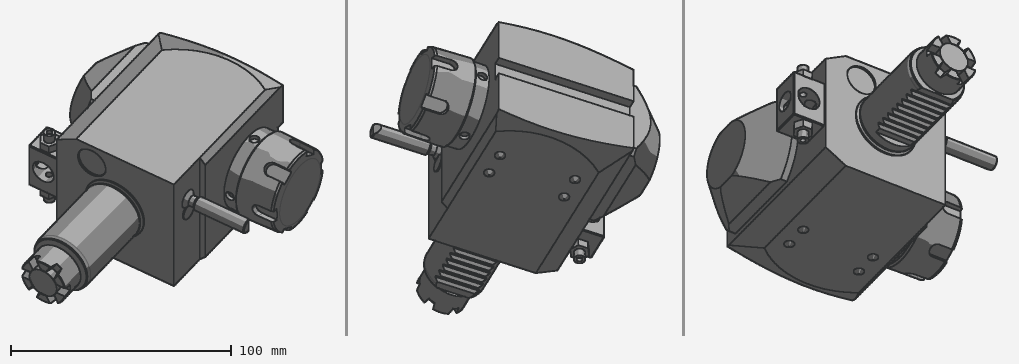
import cadquery as cq
import math


OVERLAP = 0.7

housing_half_height = 32.0
housing_left = -31.9
housing_right = 32.0
housing_depth = 84.4
left_bevel_run = 10.7
left_bevel_drop = left_bevel_run * math.tan(math.radians(30))
pad_right = 35.0
pad_front = 21.0
pad_bevel = pad_right - housing_right

relief_center = (8.5, 37.2)
relief_radius = 43.9
relief_angle = 70.0

keyway_width = 10.0
keyway_depth = 4.1

recess_center = (-12.7, 21.6)
recess_radius = 7.6
recess_depth = 1.0

collar_radius = 15.9
collar_length = 1.3
shank_radius = 15.0
shank_groove_radius = 14.6
shank_groove_end = 2.0
shank_length = 44.6
shank_end_bevel = 2.1
shank_end_radius = 14.6
shank_end_chamfer = 0.5
flat_start = 6.7
flat_drop = 11.9
tooth_pitch = 4.0
tooth_count = 8
first_tooth = 11.5
tooth_depth = 1.5
tooth_mouth = 3.3
tooth_root = 0.7

rear_nut_radius = 12.0
rear_nut_start = 45.9
rear_nut_end = 58.6
rear_neck_radius = 9.3
rear_nut_bevel = 0.3
rear_nut_hub_radius = 7.5
rear_nut_hub_rise = 0.3
rear_nut_face = rear_nut_end - rear_nut_hub_rise
rear_slot_depth = 3.9
rear_slot_mouth = 5.0
rear_slot_floor = 3.1
nut_slot_count = 6

spindle_y = 55.2
neck_radius = 16.3
ring_radius = 20.0
ring_start = 35.8
ring_end = 42.2
ring_hole_radius = 2.3
ring_hole_depth = 2.1
ring_hole_count = 4
groove_radius = 17.9
nut_radius = 21.2
nut_edge_radius = 20.7
nut_front_radius = 20.3
nut_face_radius = 16.6
nut_start = 43.0
nut_edge_start = 61.6
nut_front = 62.8
nut_end = 63.6
nut_slot_width = 6.6
nut_slot_start = 51.8
nut_slot_floor = 18.0

cover_left = -50.6
cover_radius = 31.9
cover_face_radius = 16.5
cover_cone_end = cover_left + cover_radius - cover_face_radius
cover_half_height = 23.0
cover_face_half_height = 15.7
cover_rear = 80.0
cover_bevel_run = (cover_half_height - cover_face_half_height) / math.tan(math.radians(30))

block_left = -48.0
block_front = 1.3
block_rear = 16.3
block_half_height = 12.5
block_bevel = 0.5
bore_x = -40.0
cross_bore_radius = 5.7
side_bore_y = 8.9
side_bore_radius = 4.9
pin_hole_radius = 1.5
pin_hole_depth = 4.3
fitting_y = 6.3
hex_across_corners = 9.5
hex_top = 16.6
fitting_radius = 2.6
fitting_top = 21.0
fitting_hole_radius = 1.3
fitting_hole_depth = 2.1
passage_radius = 1.6

nozzle_y = 11.3
nozzle_z = 14.0
nozzle_base_radius = 4.6
nozzle_neck_radius = 2.6
nozzle_neck_start = 34.0
nozzle_neck_end = 36.8
nozzle_tube_start = 37.8
nozzle_radius = 3.5
nozzle_end = 64.8
nozzle_edge_bevel = 0.5
nozzle_tip_bevel = 2.7
plug_z = 6.5
plug_radius = 4.1
plug_end = 32.6

screw_spacing_x = 37.2
screw_spacing_y = 12.0
screw_center_x = 5.5
screw_radius = 2.5
screw_tip_radius = 0.3
screw_height = 1.6


def box(x_range, y_range, z_range):
    """Axis-aligned box between the given limits."""
    low, high = zip(x_range, y_range, z_range)
    size = [b - a for a, b in zip(low, high)]
    return cq.Workplane("XY").box(*size, centered=False).translate(low)


def turned_along_x(profile, y, z):
    """Solid of revolution from (x, radius) points about an axis parallel to X."""
    return cq.Workplane("XY").polyline(profile).close().revolve(360, (0, 0), (1, 0)).translate((0, y, z))


def turned_along_y(profile):
    """Solid of revolution from (radius, y) points about the Y axis."""
    return cq.Workplane("XY").polyline(profile).close().revolve(360, (0, 0), (0, 1))


def turned_along_z(profile, x, y):
    """Solid of revolution from (radius, z) points about an axis parallel to Z."""
    return cq.Workplane("XZ").polyline(profile).close().revolve(360, (0, 0), (0, 1)).translate((x, y, 0))


def prism_along_y(outline, front, rear):
    """Prism from (x, z) points between two Y positions."""
    return cq.Workplane("XZ", origin=(0, front, 0)).polyline(outline).close().extrude(front - rear)


def mirrored_in_z(solid):
    return solid.union(solid.mirror("XY"))


def make_housing():
    top = housing_half_height
    bevel_x = housing_left + left_bevel_run
    side_top = top - left_bevel_drop
    outline = [
        (housing_left, -side_top), (bevel_x, -top), (housing_right, -top),
        (housing_right, top), (bevel_x, top), (housing_left, side_top),
    ]
    housing = prism_along_y(outline, 0, housing_depth)

    pad_top = top - pad_bevel
    pad = [
        (housing_right - OVERLAP, -top), (housing_right, -top), (pad_right, -pad_top),
        (pad_right, pad_top), (housing_right, top), (housing_right - OVERLAP, top),
    ]
    housing = housing.union(prism_along_y(pad, pad_front, housing_depth))

    middle_radius = relief_radius + top * math.tan(math.radians(relief_angle))
    cone_profile = [(0, -top), (relief_radius, -top), (middle_radius, 0), (relief_radius, top), (0, top)]
    front_half = box((housing_left, pad_right), (0, relief_center[1]), (-top, top))
    housing = housing.intersect(turned_along_z(cone_profile, *relief_center).union(front_half))

    keyway = box(
        (housing_left, pad_right),
        (housing_depth - keyway_depth, housing_depth),
        (-keyway_width / 2, keyway_width / 2),
    )
    recess = cq.Workplane("XZ").center(*recess_center).circle(recess_radius).extrude(-recess_depth)
    return housing.cut(keyway).cut(recess)


def make_shank():
    profile = [
        (0, OVERLAP),
        (collar_radius, OVERLAP),
        (collar_radius, -collar_length / 2),
        (shank_groove_radius, -collar_length),
        (shank_groove_radius, -shank_groove_end),
        (shank_radius, -shank_groove_end),
        (shank_radius, shank_end_bevel - shank_length),
        (shank_end_radius, shank_end_chamfer - shank_length),
        (shank_end_radius - shank_end_chamfer, -shank_length),
        (rear_neck_radius, -shank_length),
        (rear_neck_radius, -rear_nut_start),
        (rear_nut_radius, -rear_nut_start),
        (rear_nut_radius, rear_nut_bevel - rear_nut_face),
        (rear_nut_radius - rear_nut_bevel, -rear_nut_face),
        (rear_nut_hub_radius, -rear_nut_face),
        (rear_nut_hub_radius, -rear_nut_end),
        (0, -rear_nut_end),
    ]
    shank = turned_along_y(profile)
    shank = shank.cut(box(
        (-shank_radius, shank_radius), (-shank_length, -flat_start), (-shank_radius, -flat_drop),
    ))

    root_z = tooth_depth - flat_drop
    for index in range(tooth_count):
        y = -first_tooth - index * tooth_pitch
        gap = [
            (y - tooth_mouth / 2, -flat_drop), (y - tooth_root / 2, root_z),
            (y + tooth_root / 2, root_z), (y + tooth_mouth / 2, -flat_drop),
        ]
        shank = shank.cut(cq.Workplane("YZ").polyline(gap).close().extrude(shank_radius, both=True))

    slot_bottom = rear_slot_depth - rear_nut_face
    slot_outline = [
        (-rear_nut_face, -rear_slot_mouth / 2), (slot_bottom, -rear_slot_floor / 2),
        (slot_bottom, rear_slot_floor / 2), (-rear_nut_face, rear_slot_mouth / 2),
    ]
    slot = cq.Workplane("YZ").polyline(slot_outline).close().extrude(2 * rear_nut_radius)
    hub = cq.Workplane("XZ").circle(rear_nut_hub_radius).extrude(rear_nut_end)
    slot = slot.cut(hub)
    for index in range(nut_slot_count):
        shank = shank.cut(slot.rotate((0, 0, 0), (0, 1, 0), index * 360 / nut_slot_count))
    return shank


def make_spindle():
    profile = [
        (pad_right - OVERLAP, 0),
        (pad_right - OVERLAP, neck_radius),
        (ring_start, neck_radius),
        (ring_start, ring_radius),
        (ring_end, ring_radius),
        (ring_end, groove_radius),
        (nut_start, groove_radius),
        (nut_start, nut_radius),
        (nut_edge_start, nut_edge_radius),
        (nut_front, nut_front_radius),
        (nut_end, nut_face_radius),
        (nut_end, 0),
    ]
    spindle = turned_along_x(profile, 0, 0)

    ring_hole = (
        cq.Workplane("XY", origin=((ring_start + ring_end) / 2, 0, ring_radius - ring_hole_depth))
        .circle(ring_hole_radius)
        .extrude(2 * ring_hole_depth)
    )
    for index in range(ring_hole_count):
        spindle = spindle.cut(ring_hole.rotate((0, 0, 0), (1, 0, 0), index * 360 / ring_hole_count))

    half_width = nut_slot_width / 2
    slot = (
        cq.Workplane("XZ", origin=(0, -nut_slot_floor, 0))
        .moveTo(nut_end, -half_width)
        .lineTo(nut_slot_start + half_width, -half_width)
        .threePointArc((nut_slot_start, 0), (nut_slot_start + half_width, half_width))
        .lineTo(nut_end, half_width)
        .close()
        .extrude(nut_radius - nut_slot_floor + OVERLAP)
    )
    for index in range(nut_slot_count):
        spindle = spindle.cut(slot.rotate((0, 0, 0), (1, 0, 0), index * 360 / nut_slot_count))
    return spindle.translate((0, spindle_y, 0))


def make_cover():
    root = housing_left + OVERLAP
    cone = turned_along_x(
        [(cover_left, 0), (cover_left, cover_face_radius), (cover_cone_end, cover_radius),
         (root, cover_radius), (root, 0)],
        spindle_y, 0,
    )
    bevel_end = cover_left + cover_bevel_run
    outline = [
        (cover_left, -cover_face_half_height), (bevel_end, -cover_half_height), (root, -cover_half_height),
        (root, cover_half_height), (bevel_end, cover_half_height), (cover_left, cover_face_half_height),
    ]
    return cone.intersect(prism_along_y(outline, spindle_y - cover_radius, cover_rear))


def make_fitting():
    fitting = (
        cq.Workplane("XY", origin=(bore_x, fitting_y, block_half_height - OVERLAP))
        .polygon(6, hex_across_corners)
        .extrude(hex_top - block_half_height + OVERLAP)
        .faces(">Z").workplane()
        .circle(fitting_radius)
        .extrude(fitting_top - hex_top)
        .faces(">Z").workplane()
        .hole(2 * fitting_hole_radius, fitting_hole_depth)
    )
    return fitting


def make_coolant_block():
    block = box(
        (block_left, housing_left), (block_front, block_rear), (-block_half_height, block_half_height),
    )
    block = block.edges("|X or <X").chamfer(block_bevel)
    cross_bore = (
        cq.Workplane("XZ", origin=(bore_x, block_front, 0))
        .circle(cross_bore_radius)
        .extrude(block_front - block_rear)
    )
    side_bore = (
        cq.Workplane("YZ", origin=(block_left, side_bore_y, 0))
        .circle(side_bore_radius)
        .extrude(housing_left - block_left)
    )
    passage = (
        cq.Workplane("XY", origin=(bore_x, fitting_y, 0))
        .circle(passage_radius)
        .extrude(block_half_height, both=True)
    )
    block = block.union(mirrored_in_z(make_fitting()))
    return block.cut(cross_bore).cut(side_bore).cut(passage)


def make_nozzle():
    root = housing_right - OVERLAP
    profile = [
        (root, 0),
        (root, nozzle_base_radius),
        (housing_right, nozzle_base_radius),
        (nozzle_neck_start, nozzle_neck_radius),
        (nozzle_neck_end, nozzle_neck_radius),
        (nozzle_tube_start, nozzle_radius),
        (nozzle_end - nozzle_edge_bevel, nozzle_radius),
        (nozzle_end, nozzle_radius - nozzle_edge_bevel),
        (nozzle_end, 0),
    ]
    nozzle = turned_along_x(profile, nozzle_y, nozzle_z)

    tube_rear = nozzle_y + nozzle_radius
    tip_cut = (
        cq.Workplane("XY", origin=(0, 0, nozzle_z))
        .polyline([
            (nozzle_end - nozzle_tip_bevel, tube_rear), (nozzle_end, tube_rear),
            (nozzle_end, tube_rear - nozzle_tip_bevel),
        ])
        .close()
        .extrude(nozzle_radius, both=True)
    )
    plug = turned_along_x(
        [(root, 0), (root, plug_radius), (plug_end, plug_radius), (plug_end, 0)],
        nozzle_y, plug_z,
    )
    return nozzle.cut(tip_cut).union(plug)


def make_screw_tip(x, y):
    bottom = -housing_half_height
    profile = [
        (0, bottom + OVERLAP), (screw_radius, bottom + OVERLAP), (screw_radius, bottom),
        (screw_tip_radius, bottom - screw_height), (0, bottom - screw_height),
    ]
    return turned_along_z(profile, x, y)


result = make_housing()
for feature in (make_shank(), make_spindle(), make_cover(), make_coolant_block(), make_nozzle()):
    result = result.union(feature)

for side in (-1, 1):
    for end in (-1, 1):
        screw_x = screw_center_x + side * screw_spacing_x / 2
        screw_y = spindle_y + end * screw_spacing_y / 2
        result = result.union(make_screw_tip(screw_x, screw_y))

pin_hole = (
    cq.Workplane("YZ", origin=(housing_left, side_bore_y, 0))
    .circle(pin_hole_radius)
    .extrude(pin_hole_depth)
)
result = result.cut(pin_hole)